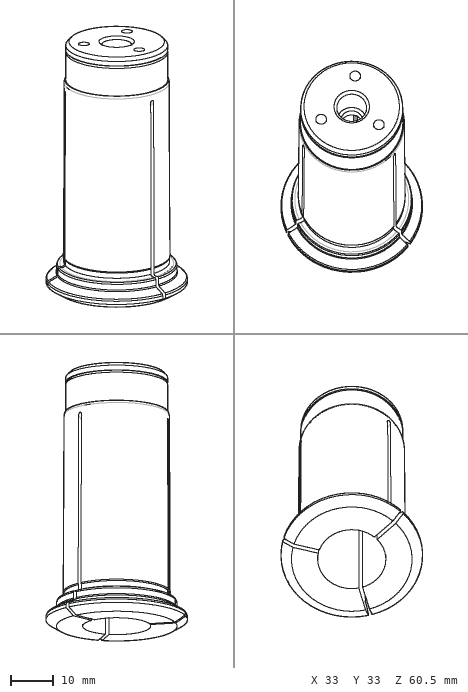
import cadquery as cq
import math

total_height = 60.5
flange_radius = 33.0 / 2

collar_radius = 28.1 / 2
base_radius = collar_radius
rim_bottom = 1.5
rim_top = 2.3
rim_cone_top = 2.7
rim_cone_radius = 16.3
cone_top_radius = 14.15
cone_top = 3.9
collar_bottom = 4.25
collar_top = 6.05
collar_bevel_width = 0.2
collar_bevel_height = 0.4

relief_radius = 12.35
relief_fillet_radius = 13.25
relief_fillet_top = 6.55
fillet_hollow = 0.3
relief_top = 7.8
sleeve_bottom = 8.1
sleeve_bottom_radius = 12.45
sleeve_top_radius = 12.3
sleeve_top = 50.6

head_radius = 23.8 / 2
shoulder_radius = 12.1
shoulder_top = 51.2
groove_bottom = 57.95
groove_top = 58.5
groove_depth = 0.3
top_face_radius = 22.2 / 2
top_edge_height = 0.85

inner_radius = 15.85 / 2
inner_top = 49.6
through_radius = 5.2 / 2
counterbore_radius = 6.9 / 2
counterbore_depth = 8.5
countersink_radius = 8.2 / 2

division_count = 3
slot_width = 0.9
slot_top = 49.1
slot_end_slope = 45.0
hole_radius = 2.5 / 2
hole_circle_radius = 7.8
hole_bottom = 49.5
drill_tip_angle = 118.0


def make_body():
    """Revolve the outer outline, from the base to the top face."""
    fillet_width = relief_fillet_radius - relief_radius
    fillet_height = relief_fillet_top - collar_top
    fillet_middle = (
        relief_radius + fillet_width * fillet_hollow,
        collar_top + fillet_height * fillet_hollow,
    )
    return (
        cq.Workplane("XZ")
        .lineTo(base_radius, 0)
        .lineTo(flange_radius, rim_bottom)
        .lineTo(flange_radius, rim_top)
        .lineTo(rim_cone_radius, rim_cone_top)
        .lineTo(cone_top_radius, cone_top)
        .lineTo(collar_radius, collar_bottom)
        .lineTo(collar_radius, collar_top - collar_bevel_height)
        .lineTo(collar_radius - collar_bevel_width, collar_top)
        .lineTo(relief_fillet_radius, collar_top)
        .threePointArc(fillet_middle, (relief_radius, relief_fillet_top))
        .lineTo(relief_radius, relief_top)
        .lineTo(sleeve_bottom_radius, sleeve_bottom)
        .lineTo(sleeve_top_radius, sleeve_top)
        .lineTo(shoulder_radius, shoulder_top)
        .lineTo(head_radius, shoulder_top)
        .lineTo(head_radius, groove_bottom)
        .lineTo(head_radius - groove_depth, groove_top)
        .lineTo(head_radius, groove_top)
        .lineTo(head_radius, total_height - top_edge_height)
        .lineTo(top_face_radius, total_height)
        .lineTo(0, total_height)
        .close()
        .revolve(360, (0, 0, 0), (0, 1, 0))
    )


def make_axial_bore():
    """Wide bore from below, through hole, and countersunk counterbore from above."""
    countersink_depth = countersink_radius - counterbore_radius
    return (
        cq.Workplane("XZ")
        .lineTo(inner_radius, 0)
        .lineTo(inner_radius, inner_top)
        .lineTo(through_radius, inner_top)
        .lineTo(through_radius, total_height - counterbore_depth)
        .lineTo(counterbore_radius, total_height - counterbore_depth)
        .lineTo(counterbore_radius, total_height - countersink_depth)
        .lineTo(countersink_radius, total_height)
        .lineTo(0, total_height)
        .close()
        .revolve(360, (0, 0, 0), (0, 1, 0))
    )


def make_slot():
    """Radial slot towards +X, open at the base, with a round end that slopes down inwards."""
    slope = math.radians(slot_end_slope)
    end_radius = slot_width / 2
    outer_radius = flange_radius + 0.6
    end_axis_height = slot_top - end_radius / math.cos(slope)
    axis_inner = end_axis_height - sleeve_top_radius * math.tan(slope)
    axis_outer = axis_inner + outer_radius * math.tan(slope)
    blade = (
        cq.Workplane("XZ")
        .lineTo(outer_radius, 0)
        .lineTo(outer_radius, axis_outer)
        .lineTo(0, axis_inner)
        .close()
        .extrude(end_radius, both=True)
    )
    round_end = cq.Workplane(
        cq.Solid.makeCylinder(
            end_radius,
            outer_radius / math.cos(slope),
            cq.Vector(0, 0, axis_inner),
            cq.Vector(math.cos(slope), 0, math.sin(slope)),
        )
    )
    return blade.union(round_end)


def make_hole():
    """Drilled hole at +X with a conical tip that breaks into the wide bore."""
    tip_depth = hole_radius / math.tan(math.radians(drill_tip_angle / 2))
    return (
        cq.Workplane("XZ")
        .moveTo(0, hole_bottom - tip_depth)
        .lineTo(hole_radius, hole_bottom)
        .lineTo(hole_radius, total_height)
        .lineTo(0, total_height)
        .close()
        .revolve(360, (0, 0, 0), (0, 1, 0))
        .translate((hole_circle_radius, 0, 0))
    )


result = make_body().cut(make_axial_bore())
for index in range(division_count):
    angle = index * 360 / division_count
    for cutter in (make_slot(), make_hole()):
        result = result.cut(cutter.rotate((0, 0, 0), (0, 0, 1), angle))